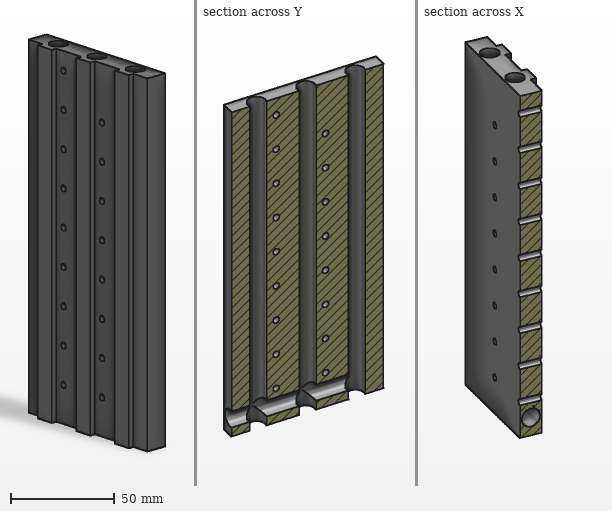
import cadquery as cq

height = 190.0
width = 85.0
total_depth = 15.0
rib_depth = 3.0
plate_depth = total_depth - rib_depth

rib_width = 10.0
lane_pitch = 27.5
lane_positions = [-lane_pitch, 0, lane_pitch]
bore_diameter = 9.7
bore_y = plate_depth / 2

channel_diameter = bore_diameter
channel_z = 10.0
channel_length = width / 2 + lane_pitch

small_hole_diameter = 3.2
left_column_x = -17.5
right_column_x = left_column_x + lane_pitch
left_column_count = 9
right_column_count = left_column_count - 1
hole_pitch = height / (left_column_count + 0.5)


def block(x_center, x_size, y_start, y_size):
    """Full-height block centred on x_center, growing in +Y from y_start."""
    base = cq.Workplane("XY", origin=(x_center, y_start, 0))
    return base.box(x_size, y_size, height, centered=(True, False, False))


def ribbed_plate():
    body = block(0, width, 0, plate_depth)
    for x in lane_positions:
        body = body.union(block(x, rib_width, -rib_depth, total_depth))
    return body


def long_bores():
    centers = [(x, bore_y) for x in lane_positions]
    return cq.Workplane("XY").pushPoints(centers).circle(bore_diameter / 2).extrude(height)


def cross_channel():
    return (
        cq.Workplane("YZ", origin=(-width / 2, 0, 0))
        .center(bore_y, channel_z)
        .circle(channel_diameter / 2)
        .extrude(channel_length)
    )


def hole_column(x, count):
    centers = [(x, (i + 1) * hole_pitch) for i in range(count)]
    return (
        cq.Workplane("XZ", origin=(0, plate_depth, 0))
        .pushPoints(centers)
        .circle(small_hole_diameter / 2)
        .extrude(plate_depth)
    )


result = (
    ribbed_plate()
    .cut(long_bores())
    .cut(cross_channel())
    .cut(hole_column(left_column_x, left_column_count))
    .cut(hole_column(right_column_x, right_column_count))
)